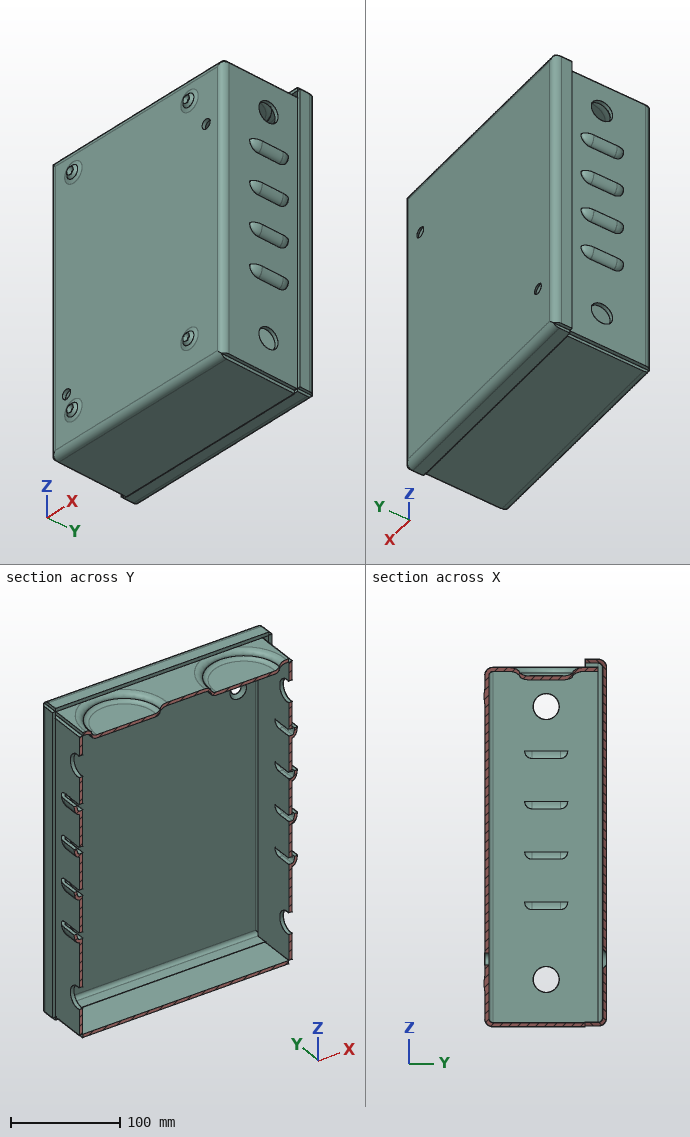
import cadquery as cq

overall_width = 247.3
overall_depth = 116.0
overall_height = 336.5

foot_columns = (-85.5, 72.5)
foot_rows = (134.2, -128.5)
foot_base_radius = 11.8
foot_shoulder_radius = 7.5
foot_shoulder_height = 1.5
foot_tip_radius = 4.5
foot_height = 4.5
foot_bore_radius = 1.7
foot_recess_depth = 3.5

half_width = 117.8
housing_top = 160.8
housing_bottom = -overall_height / 2
housing_front = foot_height - overall_depth / 2
housing_rear = 50.0
housing_wall = 4.0
housing_bend = 7.7
housing_notch = 3.7

cover_wall = 3.7
cover_half_width = half_width + cover_wall
cover_top = overall_height / 2
cover_bottom = -167.5
cover_lip = 38.5
cover_rear = overall_depth / 2
cover_bend = 7.7
cover_notch = 3.5

feature_y = 2.7
side_hole_radius = 11.8
side_hole_heights = (124.8, -124.8)

louver_count = 4
louver_first_z = 84.0
louver_pitch = 46.0
louver_height = 10.5
louver_projection = overall_width / 2 - half_width
louver_straight = 26.0
louver_skin = 3.7

knockout_x = 66.0
knockout_radius = 45.0
knockout_step_radius = 37.7
knockout_step_depth = 5.0
knockout_floor_radius = 32.5
knockout_depth = 7.7

mount_hole_radius = 5.5
mount_holes = ((-95.0, -106.0), (95.0, 97.5))

cover_hole_rise = 7.5
cover_hole_radius = 5.5
cover_holes = (mount_holes[0], (mount_holes[1][0], mount_holes[1][1] + cover_hole_rise))


def block(half_x, y_start, y_end, z_start, z_end):
    """Box centred in X between the given Y and Z limits."""
    box = cq.Workplane("XY").box(2 * half_x, y_end - y_start, z_end - z_start)
    return box.translate((0, (y_start + y_end) / 2, (z_start + z_end) / 2))


def corner_notches(half_x, z_start, z_end, size):
    """Square bars along Y that relieve the four folded corners of a tray."""
    middle_z = (z_start + z_end) / 2
    bars = cq.Workplane("XZ", origin=(0, 0, middle_z))
    bars = bars.rect(2 * half_x, z_end - z_start, forConstruction=True).vertices()
    return bars.rect(2 * size, 2 * size).extrude(cover_top, both=True)


def recess_plug():
    """Round plug with its top face at Z = 0: a rolled rim, a step and a flat floor."""
    rim_run = knockout_radius - knockout_step_radius
    outline = (
        cq.Workplane("XZ")
        .moveTo(0, -knockout_depth)
        .lineTo(knockout_floor_radius, -knockout_depth)
        .tangentArcPoint((knockout_step_radius, -knockout_step_depth), relative=False)
        .ellipseArc(rim_run, knockout_step_depth, 90, 180, rotation_angle=0, sense=-1)
        .lineTo(0, 0)
        .close()
    )
    return outline.revolve(360, (0, 0, 0), (0, 1, 0))


def louver_form(height, projection, root):
    """Bulge toward -X with a flat top and rounded ends, reaching `root` behind the plane X = 0."""
    half = louver_straight / 2

    def section(y):
        return (
            cq.Workplane("XZ", origin=(0, y, 0))
            .moveTo(root, 0)
            .lineTo(-projection, 0)
            .ellipseArc(projection, height, 180, 270, startAtCurrent=True)
            .lineTo(root, -height)
            .close()
        )

    middle = section(half).extrude(louver_straight)
    rear_end = section(half).revolve(90, (0, 0, 0), (1, 0, 0))
    front_end = section(-half).revolve(90, (0, 0, 0), (-1, 0, 0))
    return middle.union(rear_end).union(front_end)


def add_louvers(tray):
    """Hooded vents on both side walls, open along their upper edge."""
    bulge = louver_form(louver_height, louver_projection, housing_wall)
    cavity = louver_form(louver_height - louver_skin, louver_projection - louver_skin, housing_wall)
    hood = bulge.cut(cavity)
    for row in range(louver_count):
        place = (-half_width, feature_y, louver_first_z - row * louver_pitch)
        left_slot = cavity.translate(place)
        left_hood = hood.translate(place)
        for slot, cap in ((left_slot, left_hood), (left_slot.mirror("YZ"), left_hood.mirror("YZ"))):
            tray = tray.cut(slot).union(cap)
    return tray


def add_knockouts(tray):
    """Round recesses pressed into the top wall, backed by the same form one wall lower."""
    plug = recess_plug()
    for x in (-knockout_x, knockout_x):
        backing = plug.translate((x, feature_y, housing_top - housing_wall))
        recess = plug.translate((x, feature_y, housing_top))
        tray = tray.union(backing).cut(recess)
    return tray


def drill_side_holes(tray):
    for z in side_hole_heights:
        drill = cq.Workplane("YZ", origin=(0, feature_y, z)).circle(side_hole_radius)
        tray = tray.cut(drill.extrude(cover_half_width, both=True))
    return tray


def add_feet(tray):
    """Standoffs on the front panel: flared base, conical tip and a countersunk bore."""
    axis = ((0, 0, 0), (0, 1, 0))
    body = (
        cq.Workplane("XY")
        .lineTo(foot_base_radius, 0)
        .lineTo(foot_shoulder_radius, -foot_shoulder_height)
        .lineTo(foot_tip_radius, -foot_height)
        .lineTo(0, -foot_height)
        .close()
        .revolve(360, *axis)
    )
    bore = (
        cq.Workplane("XY")
        .moveTo(0, -foot_height)
        .lineTo(foot_tip_radius, -foot_height)
        .lineTo(foot_bore_radius, foot_recess_depth - foot_height)
        .lineTo(foot_bore_radius, housing_wall)
        .lineTo(0, housing_wall)
        .close()
        .revolve(360, *axis)
    )
    for x in foot_columns:
        for z in foot_rows:
            place = (x, housing_front, z)
            tray = tray.union(body.translate(place)).cut(bore.translate(place))
    return tray


def drill_mount_holes(tray):
    for x, z in mount_holes:
        drill = cq.Workplane("XZ", origin=(x, housing_front, z)).circle(mount_hole_radius)
        tray = tray.cut(drill.extrude(-housing_wall))
    return tray


def make_housing():
    outer = block(half_width, housing_front, housing_rear, housing_bottom, housing_top)
    outer = outer.faces("<Y").edges().fillet(housing_bend)
    inner = block(
        half_width - housing_wall,
        housing_front + housing_wall,
        cover_rear,
        housing_bottom + housing_wall,
        housing_top - housing_wall,
    )
    inner = inner.faces("<Y").edges().fillet(housing_bend - housing_wall)
    tray = outer.cut(inner)
    tray = tray.cut(corner_notches(half_width, housing_bottom, housing_top, housing_notch))
    tray = tray.cut(
        block(half_width, cover_lip, cover_rear, housing_bottom, cover_bottom + cover_wall)
    )
    tray = add_knockouts(tray)
    tray = add_louvers(tray)
    tray = drill_side_holes(tray)
    tray = add_feet(tray)
    return drill_mount_holes(tray)


def make_cover():
    outer = block(cover_half_width, cover_lip, cover_rear, cover_bottom, cover_top)
    outer = outer.faces(">Y").edges().fillet(cover_bend)
    inner = block(
        half_width,
        housing_front,
        cover_rear - cover_wall,
        cover_bottom + cover_wall,
        cover_top - cover_wall,
    )
    inner = inner.faces(">Y").edges().fillet(cover_bend - cover_wall)
    tray = outer.cut(inner)
    tray = tray.cut(corner_notches(cover_half_width, cover_bottom, cover_top, cover_notch))
    for x, z in cover_holes:
        cone = cq.Solid.makeCone(
            cover_hole_radius + cover_wall,
            cover_hole_radius,
            cover_wall,
            cq.Vector(x, cover_rear - cover_wall, z),
            cq.Vector(0, 1, 0),
        )
        tray = tray.cut(cq.Workplane(cone))
    return tray


housing = make_housing()
cover = make_cover()

result = cq.Compound.makeCompound([housing.val(), cover.val()])